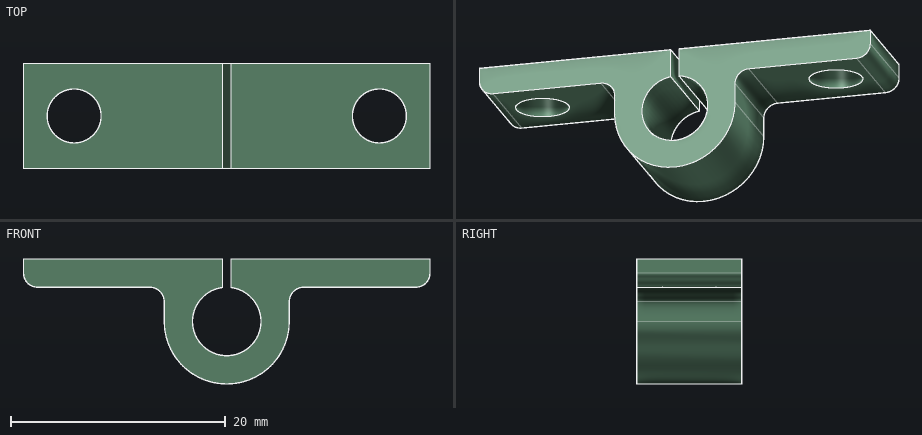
import cadquery as cq

overall_length = 37.83
width = 9.78
overall_height = 11.66
bore_diameter = 6.35
slit_width = 0.79
edge_radius = 1.32
hole_diameter = 5.0
hole_spacing = 28.4

bore_radius = bore_diameter / 2
wall = (overall_height - bore_diameter) / 2
barrel_radius = bore_radius + wall

half_length = overall_length / 2
top_z = barrel_radius
flange_bottom_z = top_z - wall


def make_body():
    """Flange strip with a U-shaped barrel hanging below it, extruded along Y."""
    outline = (
        cq.Workplane("XZ")
        .moveTo(-half_length, top_z)
        .lineTo(half_length, top_z)
        .lineTo(half_length, flange_bottom_z)
        .lineTo(barrel_radius, flange_bottom_z)
        .lineTo(barrel_radius, 0)
        .threePointArc((0, -barrel_radius), (-barrel_radius, 0))
        .lineTo(-barrel_radius, flange_bottom_z)
        .lineTo(-half_length, flange_bottom_z)
        .close()
    )
    return outline.extrude(width / 2, both=True)


def round_flange_edges(body):
    """Round the lower end of each flange and its inner corner with the barrel."""
    for side in (-1, 1):
        for x in (side * half_length, side * barrel_radius):
            corner = cq.selectors.NearestToPointSelector((x, 0, flange_bottom_z))
            body = body.edges("|Y").edges(corner).fillet(edge_radius)
    return body


def make_bore():
    """Bore along Y, split open to the top by a narrow slit."""
    bore = cq.Workplane("XZ").circle(bore_radius).extrude(width / 2, both=True)
    slit = cq.Workplane("XY").rect(slit_width, width).extrude(top_z)
    return bore.union(slit)


def make_screw_holes():
    """One vertical hole through each flange."""
    centers = [(-hole_spacing / 2, 0), (hole_spacing / 2, 0)]
    return cq.Workplane("XY").pushPoints(centers).circle(hole_diameter / 2).extrude(top_z)


result = round_flange_edges(make_body()).cut(make_bore()).cut(make_screw_holes())